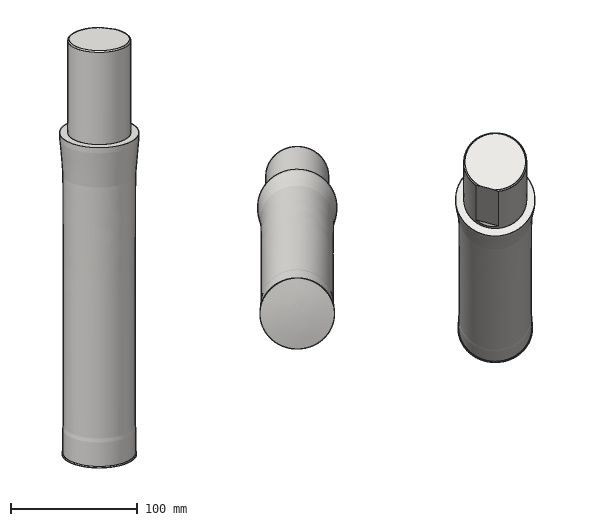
import cadquery as cq

total_height = 356.0

rod_diameter = 50.0
rod_chamfer = 1.0
rod_flat_depth = 1.8
rod_flat_bottom = 279.8

body_diameter = 57.0
band_diameter = 57.5
lip_diameter = 59.0
collar_diameter = 62.5

dome_height = 2.0
lip_top = 3.2
lower_band_top = 23.5
lower_taper_top = 26.7
upper_taper_bottom = 145.0
flare_blend_bottom = 237.0
flare_bottom = 241.0
collar_bottom = 271.3
collar_top = 276.2

socket_floor = lower_taper_top


def make_sleeve():
    """Turned sleeve with a domed foot and lip, a flared collar and a blind socket."""
    profile = (
        cq.Workplane("XZ")
        .threePointArc((lip_diameter / 4, dome_height / 4), (lip_diameter / 2, dome_height))
        .lineTo(band_diameter / 2, lip_top)
        .lineTo(band_diameter / 2, lower_band_top)
        .lineTo(body_diameter / 2, lower_taper_top)
        .lineTo(body_diameter / 2, upper_taper_bottom)
        .lineTo(band_diameter / 2, flare_blend_bottom)
        .lineTo(band_diameter / 2, flare_bottom)
        .lineTo(collar_diameter / 2, collar_bottom)
        .lineTo(collar_diameter / 2, collar_top)
        .lineTo(0, collar_top)
        .close()
    )
    sleeve = profile.revolve(360, (0, 0, 0), (0, 1, 0))
    socket = (
        cq.Workplane("XY")
        .workplane(offset=socket_floor)
        .circle(rod_diameter / 2)
        .extrude(collar_top - socket_floor)
    )
    return sleeve.cut(socket)


def make_rod():
    """Round rod with a chamfered top and a shallow ramped flat on its +Y side."""
    rod = (
        cq.Workplane("XY")
        .workplane(offset=socket_floor)
        .circle(rod_diameter / 2)
        .extrude(total_height - socket_floor)
        .faces(">Z")
        .chamfer(rod_chamfer)
    )
    flat_y = rod_diameter / 2 - rod_flat_depth
    flat_cutter = (
        cq.Workplane("YZ")
        .moveTo(flat_y, total_height)
        .lineTo(flat_y, rod_flat_bottom + rod_flat_depth)
        .lineTo(rod_diameter / 2, rod_flat_bottom)
        .lineTo(rod_diameter / 2, total_height)
        .close()
        .extrude(rod_diameter / 2, both=True)
    )
    return rod.cut(flat_cutter)


sleeve = make_sleeve()
rod = make_rod()

result = cq.Compound.makeCompound([sleeve.val(), rod.val()])